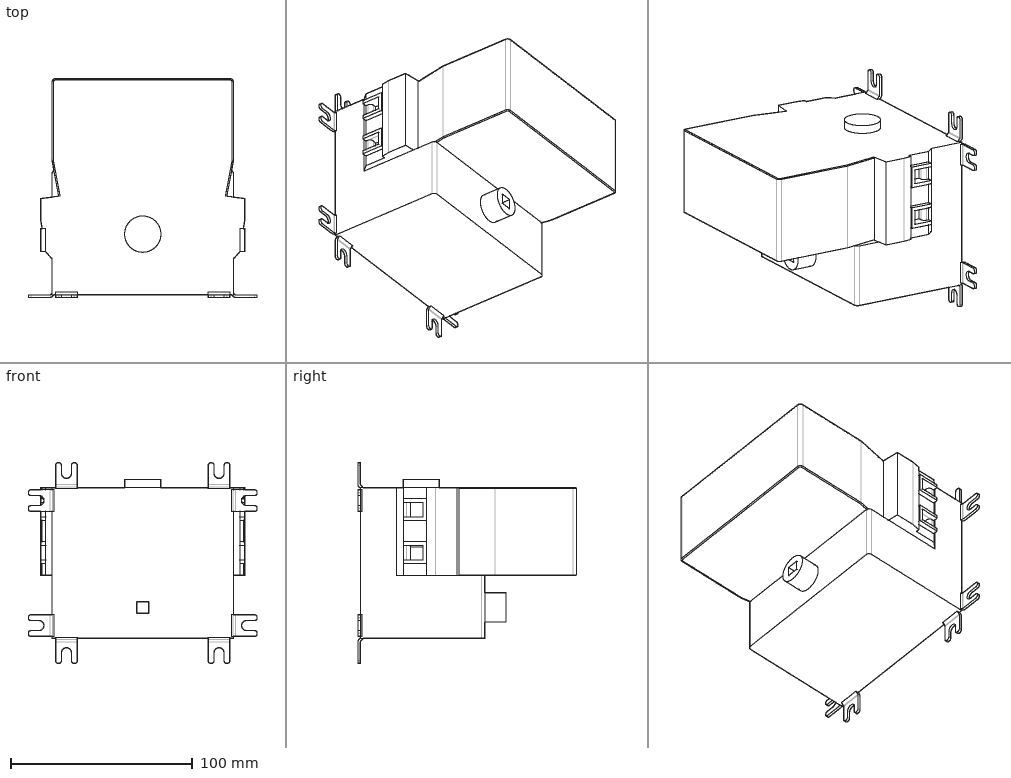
import cadquery as cq
import math

body_width = 100.0
body_height = 83.0
lower_depth = 68.5
corner_radius = 2.0

head_bottom = 34.7
head_depth = 119.0
taper_start = 74.0
waist_width = 92.6
waist_y = 54.3
rim_bevel_across = 0.8
rim_bevel_down = 0.35
cover_overlap = 2.0

shoulder_width = 112.5
shoulder_back_y = 53.0
shoulder_flat_y = 41.3
shoulder_step_width = 110.8
terminal_width = 107.0
terminal_front_y = 23.7
terminal_chamfer_y = 19.8
terminal_back_y = 36.4

frame_height = 12.0
frame_wall = 2.0
frame_spacing = 23.7
frame_middle = 59.1
pocket_depth = 4.0
pocket_lip = 1.5
pocket_lip_radius = 2.2
pocket_ceiling_drop = 0.8

button_diameter = 20.0
button_height = 4.5
button_y = 33.4
knob_diameter = 16.3
knob_end_y = 80.1
shaft_z = 17.1
shaft_hole_width = 6.6
shaft_hole_height = 6.2

lug_width = 12.0
lug_thickness = 1.5
lug_slot_width = 5.4
lug_slot_depth = 8.6
lug_tip_radius = 1.5
lug_bend_radius = 0.5
lug_bend_angle = math.radians(45)
lug_flat_length = 11.9
side_lug_reach = 13.005
end_lug_reach = 13.755
side_lug_offset = 34.4
end_lug_offset = 42.0

half_width = body_width / 2
head_height = body_height - head_bottom
window_depth = terminal_back_y - frame_wall - terminal_front_y


def block(x_range, y_range, z_range):
    """Box spanning the given ranges."""
    size = [high - low for low, high in (x_range, y_range, z_range)]
    corner = (x_range[0], y_range[0], z_range[0])
    return cq.Workplane("XY").box(*size, centered=False).translate(corner)


def both_sides(shape):
    """The shape together with its mirror image across the YZ plane."""
    return shape.union(shape.mirror("YZ"))


def make_lower_body():
    body = block((-half_width, half_width), (0, lower_depth), (0, head_bottom))
    return body.edges("|Z and >Y").fillet(corner_radius)


def cover_outline(z):
    """Outline of the cover at height Z, running a short way into the shoulders."""
    back_left = (-half_width + corner_radius, head_depth)
    back_right = (half_width - corner_radius, head_depth)
    return (
        cq.Workplane("XY", origin=(0, 0, z))
        .moveTo(-waist_width / 2, waist_y - cover_overlap)
        .lineTo(-waist_width / 2, waist_y)
        .lineTo(-half_width, taper_start)
        .lineTo(-half_width, head_depth - corner_radius)
        .radiusArc(back_left, corner_radius)
        .lineTo(*back_right)
        .radiusArc((half_width, head_depth - corner_radius), corner_radius)
        .lineTo(half_width, taper_start)
        .lineTo(waist_width / 2, waist_y)
        .lineTo(waist_width / 2, waist_y - cover_overlap)
        .close()
    )


def make_cover():
    """Rear part of the head, narrowing toward the waist, with bevelled rims."""
    rim_taper = math.degrees(math.atan2(rim_bevel_across, rim_bevel_down))
    upper_rim_z = body_height - rim_bevel_down
    lower_rim_z = head_bottom + rim_bevel_down
    wall = cover_outline(lower_rim_z).extrude(upper_rim_z - lower_rim_z)
    upper_rim = cover_outline(upper_rim_z).extrude(rim_bevel_down, taper=rim_taper)
    lower_rim = cover_outline(lower_rim_z).extrude(-rim_bevel_down, taper=rim_taper)
    return wall.union(upper_rim).union(lower_rim)


def make_shoulders():
    """Front part of the head, stepping out to the terminals on each side."""
    right_side = [
        (half_width, 0),
        (half_width, terminal_chamfer_y),
        (terminal_width / 2, terminal_front_y),
        (terminal_width / 2, terminal_back_y),
        (shoulder_step_width / 2, terminal_back_y),
        (shoulder_width / 2, shoulder_flat_y),
        (shoulder_width / 2, shoulder_back_y),
        (waist_width / 2, waist_y),
    ]
    left_side = [(-x, y) for x, y in reversed(right_side)]
    profile = cq.Workplane("XY", origin=(0, 0, head_bottom)).polyline(right_side + left_side)
    return profile.close().extrude(head_height)


def terminal_heights():
    return [frame_middle + side * frame_spacing / 2 for side in (-1, 1)]


def make_frames():
    """Three-sided frames around the clamp pockets, open toward the front."""
    frames = cq.Workplane("XY")
    x_range = (-shoulder_width / 2, -terminal_width / 2)
    window_end = terminal_front_y + window_depth
    for z in terminal_heights():
        half_frame = frame_height / 2
        half_window = half_frame - frame_wall
        frame = block(x_range, (terminal_front_y, terminal_back_y), (z - half_frame, z + half_frame))
        window = block(x_range, (terminal_front_y, window_end), (z - half_window, z + half_window))
        frames = frames.union(frame.cut(window))
    return both_sides(frames)


def make_ceiling_wedge(mouth_x, floor_x, back_y):
    """Material that slopes the ceiling of the lower pocket down toward its floor."""
    ceiling_z = min(terminal_heights()) + frame_height / 2 - frame_wall
    return (
        cq.Workplane("XZ", origin=(0, back_y, ceiling_z))
        .moveTo(mouth_x, 0)
        .lineTo(floor_x, 0)
        .lineTo(floor_x, -pocket_ceiling_drop)
        .close()
        .extrude(window_depth)
    )


def make_pockets():
    """Clamp pockets behind the frame windows, with a rounded lip at the front."""
    pockets = cq.Workplane("XY")
    window_height = frame_height - 2 * frame_wall
    mouth_x = -terminal_width / 2
    floor_x = mouth_x + pocket_depth
    lip_y = terminal_front_y + pocket_lip
    window_end = terminal_front_y + window_depth
    for z in terminal_heights():
        pocket = (
            cq.Workplane("XY", origin=(0, 0, z - window_height / 2))
            .moveTo(mouth_x, lip_y)
            .radiusArc((mouth_x + pocket_lip_radius, lip_y + pocket_lip_radius), pocket_lip_radius)
            .lineTo(floor_x, lip_y + pocket_lip_radius)
            .lineTo(floor_x, window_end)
            .lineTo(mouth_x, window_end)
            .close()
            .extrude(window_height)
        )
        pockets = pockets.union(pocket)
    pockets = pockets.cut(make_ceiling_wedge(mouth_x, floor_x, window_end))
    return both_sides(pockets)


def make_button():
    disc = cq.Workplane("XY", origin=(0, button_y, body_height))
    return disc.circle(button_diameter / 2).extrude(button_height)


def make_knob():
    base = cq.Workplane("XZ", origin=(0, lower_depth, shaft_z))
    return base.circle(knob_diameter / 2).extrude(lower_depth - knob_end_y)


def make_shaft_hole():
    face = cq.Workplane("XZ", origin=(0, 0, shaft_z))
    return face.rect(shaft_hole_width, shaft_hole_height).extrude(-knob_end_y)


def make_lug(reach):
    """Lug pointing along +X from a body edge on X = 0, centred on Z = 0."""
    outer_radius = lug_bend_radius + lug_thickness
    sine = math.sin(lug_bend_angle)
    cosine = math.cos(lug_bend_angle)
    bend_x = reach - lug_flat_length
    bend_y = lug_bend_radius
    root_length = 2 * lug_thickness

    def on_bend(radius, angle):
        return (bend_x - radius * math.sin(angle), bend_y - radius * math.cos(angle))

    inner_end = on_bend(lug_bend_radius, lug_bend_angle)
    outer_end = on_bend(outer_radius, lug_bend_angle)
    root = (-root_length * cosine, root_length * sine)
    strip = (
        cq.Workplane("XY")
        .moveTo(reach, 0)
        .lineTo(bend_x, 0)
        .threePointArc(on_bend(lug_bend_radius, lug_bend_angle / 2), inner_end)
        .lineTo(inner_end[0] + root[0], inner_end[1] + root[1])
        .lineTo(outer_end[0] + root[0], outer_end[1] + root[1])
        .lineTo(*outer_end)
        .threePointArc(on_bend(outer_radius, lug_bend_angle / 2), (bend_x, -lug_thickness))
        .lineTo(reach, -lug_thickness)
        .close()
        .extrude(lug_width / 2, both=True)
    )
    slot_radius = lug_slot_width / 2
    slot_centre = reach - lug_slot_depth + slot_radius
    slot = (
        cq.Workplane("XZ")
        .moveTo(reach, slot_radius)
        .lineTo(slot_centre, slot_radius)
        .threePointArc((slot_centre - slot_radius, 0), (slot_centre, -slot_radius))
        .lineTo(reach, -slot_radius)
        .close()
        .extrude(lug_thickness)
    )
    return strip.cut(slot).edges("|Y and >X").fillet(lug_tip_radius)


def make_lugs():
    """Two lugs on each of the four edges of the front face."""
    middle_z = body_height / 2
    lugs = cq.Workplane("XY")
    edges = [
        (0, half_width, side_lug_reach, side_lug_offset),
        (90, middle_z, end_lug_reach, end_lug_offset),
    ]
    for angle, edge_distance, reach, offset in edges:
        lug = make_lug(reach)
        for turn in (0, 180):
            for side in (-1, 1):
                placed = lug.translate((edge_distance, 0, side * offset))
                placed = placed.rotate((0, 0, 0), (0, 1, 0), angle + turn)
                lugs = lugs.union(placed.translate((0, 0, middle_z)))
    return lugs


result = (
    make_lower_body()
    .union(make_shoulders())
    .union(make_cover())
    .union(make_frames())
    .cut(make_pockets())
    .union(make_button())
    .union(make_knob())
    .union(make_lugs())
    .cut(make_shaft_hole())
)